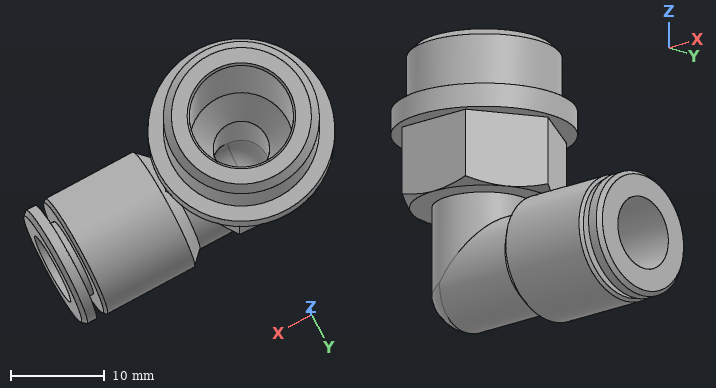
import cadquery as cq
import math

elbow_radius = 11.2 / 2
passage_radius = 6.0 / 2

hex_bottom = 7.8
flange_bottom = 15.97
flange_top = 18.58
spigot_top = 25.5
hex_across_flats = 15.97
flange_radius = 20.0 / 2
spigot_radius = 16.65 / 2
spigot_chamfer = 0.85
hex_chamfer_angle = 30

bore_radius = 11.12 / 2
bore_chamfer = 0.23
bore_cone_top = 11.88
bore_cone_height = bore_radius - passage_radius

socket_start = 8.12
socket_end = 20.45
socket_radius = 14.0 / 2
socket_end_chamfer = 0.33
ring_start = 21.42
ring_end = 23.0
ring_radius = 13.8 / 2
ring_chamfer = 0.45
neck_radius = 8.8 / 2
neck_flare = 0.15
tube_hole_radius = 8.0 / 2
tube_hole_bottom = 9.47

corner_pivot = 1.52
corner_tilt = 16.5


def turned_about_z(points):
    """Revolve an outline of (radius, z) points about Z."""
    return cq.Workplane("XZ").polyline(points).close().revolve(360, (0, 0), (0, 1))


def turned_about_x(points):
    """Revolve an outline of (x, radius) points about X."""
    return cq.Workplane("XZ").polyline(points).close().revolve(360, (0, 0), (1, 0))


def mitred_elbow():
    """Two equal round legs joined on a 45 degree mitre."""
    reach = 2 * hex_bottom
    vertical = cq.Workplane("XY").workplane(offset=-reach).circle(elbow_radius).extrude(reach + hex_bottom)
    horizontal = cq.Workplane("YZ").workplane(offset=-reach).circle(elbow_radius).extrude(reach + socket_start)
    above_mitre = (
        cq.Workplane("XZ")
        .polyline([(-reach, -reach), (reach, reach), (-reach, reach)])
        .close()
        .extrude(reach, both=True)
    )
    return vertical.intersect(above_mitre).union(horizontal.cut(above_mitre))


def corner_section_plane():
    """Tilted plane in which the vertical leg has an elliptical section."""
    tilt = math.radians(corner_tilt)
    center_z = -corner_pivot + corner_pivot * math.tan(tilt)
    return cq.Plane(
        origin=(0, 0, center_z),
        xDir=(-math.cos(tilt), 0, -math.sin(tilt)),
        normal=(math.sin(tilt), 0, -math.cos(tilt)),
    )


def rounded_corner():
    """Sweep the outer part of the leg's elliptical section around the corner."""
    cos_tilt = math.cos(math.radians(corner_tilt))
    pivot_offset = corner_pivot / cos_tilt
    half_arc = math.degrees(math.acos(corner_pivot / elbow_radius))
    return (
        cq.Workplane(corner_section_plane())
        .ellipseArc(elbow_radius / cos_tilt, elbow_radius, -half_arc, half_arc, startAtCurrent=False)
        .close()
        .revolve(90 - 2 * corner_tilt, (pivot_offset, 0), (pivot_offset, -1))
    )


def corner_wedge():
    """Sharp outer corner material that the rounded corner replaces."""
    reach = 2 * elbow_radius
    rise = reach * math.tan(math.radians(corner_tilt))
    near = -corner_pivot
    outline = [
        (near, near),
        (near - reach, near - rise),
        (near - reach, near - reach),
        (near - rise, near - reach),
    ]
    return cq.Workplane("XZ").polyline(outline).close().extrude(reach, both=True)


def hexagon():
    """Hexagon with corners along X, its lower corners chamfered down to the flats."""
    across_corners = hex_across_flats / math.cos(math.radians(30))
    height = flange_bottom - hex_bottom
    prism = cq.Workplane("XY").workplane(offset=hex_bottom).polygon(6, across_corners).extrude(height)
    flat_radius = hex_across_flats / 2
    corner_radius = across_corners / 2
    chamfer_height = (corner_radius - flat_radius) * math.tan(math.radians(hex_chamfer_angle))
    envelope = turned_about_z([
        (0, hex_bottom),
        (flat_radius, hex_bottom),
        (corner_radius, hex_bottom + chamfer_height),
        (corner_radius, flange_bottom),
        (0, flange_bottom),
    ])
    return prism.intersect(envelope)


def flange_and_spigot():
    return turned_about_z([
        (0, flange_bottom),
        (flange_radius, flange_bottom),
        (flange_radius, flange_top),
        (spigot_radius, flange_top),
        (spigot_radius, spigot_top - spigot_chamfer),
        (spigot_radius - spigot_chamfer, spigot_top),
        (0, spigot_top),
    ])


def socket_and_ring():
    return turned_about_x([
        (socket_start, 0),
        (socket_start, elbow_radius),
        (socket_start + socket_radius - elbow_radius, socket_radius),
        (socket_end - socket_end_chamfer, socket_radius),
        (socket_end, socket_radius - socket_end_chamfer),
        (socket_end, neck_radius),
        (ring_start - neck_flare, neck_radius),
        (ring_start, neck_radius + neck_flare),
        (ring_start, ring_radius),
        (ring_end - ring_chamfer, ring_radius),
        (ring_end, ring_radius - ring_chamfer),
        (ring_end, 0),
    ])


def flow_passage():
    """Coned top bore and stepped tube hole, joined by a ball at the bend."""
    top_bore = turned_about_z([
        (0, 0),
        (passage_radius, 0),
        (passage_radius, bore_cone_top - bore_cone_height),
        (bore_radius, bore_cone_top),
        (bore_radius, spigot_top - bore_chamfer),
        (bore_radius + bore_chamfer, spigot_top),
        (0, spigot_top),
    ])
    tube_hole = turned_about_x([
        (0, 0),
        (0, passage_radius),
        (tube_hole_bottom, passage_radius),
        (tube_hole_bottom, tube_hole_radius),
        (ring_end, tube_hole_radius),
        (ring_end, 0),
    ])
    bend = cq.Workplane("XY").sphere(passage_radius)
    return top_bore.union(tube_hole).union(bend)


elbow = mitred_elbow().cut(corner_wedge()).union(rounded_corner())
body = elbow.union(hexagon()).union(flange_and_spigot()).union(socket_and_ring())
result = body.cut(flow_passage())